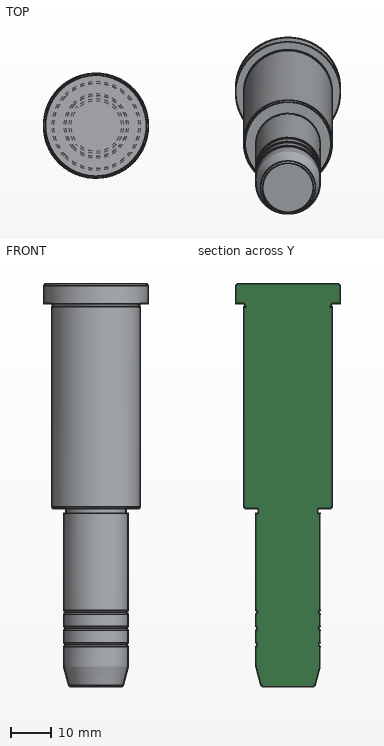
import cadquery as cq
import math

length = 100.0
head_diameter = 26.0
body_diameter = 22.0
pin_diameter = 16.0

head_thickness = 5.0
body_bottom = 44.2
pin_top = 43.0
taper_length = 5.0

head_chamfer = 0.5
body_chamfer = 0.4
tip_chamfer = 0.4
taper_angle = 15.0

head_relief_width = 0.8
head_relief_depth = 0.5
pin_relief_depth = 0.5

groove_count = 3
first_groove_bottom = 10.0
groove_pitch = 4.0
groove_width = 1.0
groove_depth = 0.4


def cylinder(diameter, bottom, top):
    """Solid cylinder on the Z axis between two heights."""
    return cq.Workplane("XY").workplane(offset=bottom).circle(diameter / 2).extrude(top - bottom)


def angled_groove(diameter, bottom, width, depth, root_height):
    """Triangular-section ring for cutting a groove whose root lies root_height above its bottom."""
    radius = diameter / 2
    section = [
        (radius, bottom),
        (radius - depth, bottom + root_height),
        (radius, bottom + width),
    ]
    axis_start = (0, 0, 0)
    axis_end = (0, 1, 0)
    return cq.Workplane("XZ").polyline(section).close().revolve(360, axis_start, axis_end)


def make_head():
    head = cylinder(head_diameter, length - head_thickness, length)
    return head.faces(">Z").edges().chamfer(head_chamfer)


def make_body():
    head_bottom = length - head_thickness
    body = cylinder(body_diameter, body_bottom, head_bottom)
    body = body.faces("<Z").edges().chamfer(body_chamfer)
    relief_bottom = head_bottom - head_relief_width
    relief = angled_groove(body_diameter, relief_bottom, head_relief_width, head_relief_depth, root_height=0)
    return body.cut(relief)


def make_pin():
    pin_radius = pin_diameter / 2
    tip_radius = pin_radius - taper_length * math.tan(math.radians(taper_angle))
    tip = (
        cq.Workplane("XY")
        .circle(tip_radius)
        .workplane(offset=taper_length)
        .circle(pin_radius)
        .loft(ruled=True)
        .faces("<Z")
        .edges()
        .chamfer(tip_chamfer)
    )
    pin = tip.union(cylinder(pin_diameter, taper_length, pin_top))
    for index in range(groove_count):
        groove_bottom = first_groove_bottom + index * groove_pitch
        groove = angled_groove(pin_diameter, groove_bottom, groove_width, groove_depth, groove_width / 2)
        pin = pin.cut(groove)
    neck = cylinder(pin_diameter - 2 * pin_relief_depth, pin_top, body_bottom)
    return pin.union(neck)


result = make_head().union(make_body()).union(make_pin())